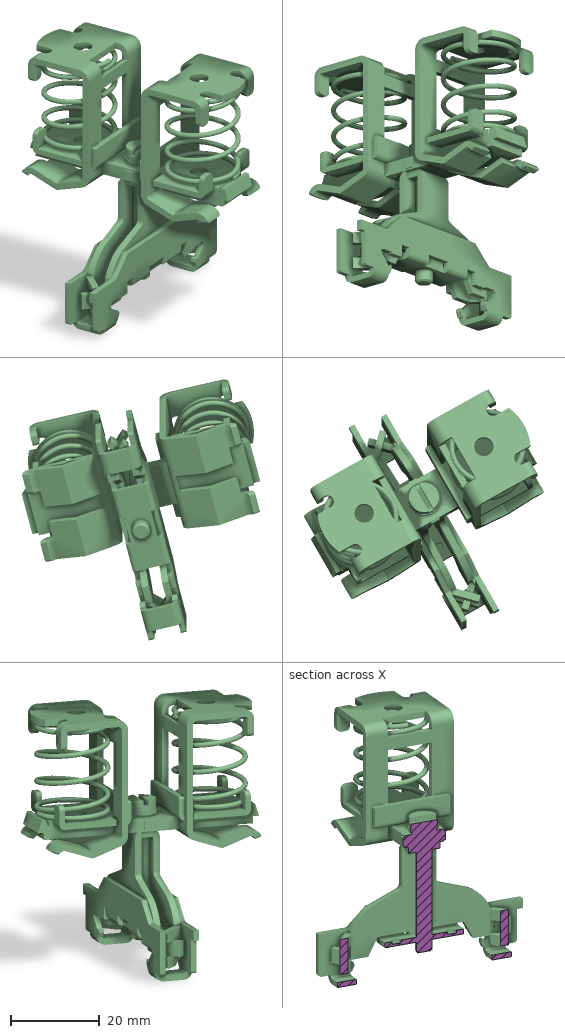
import cadquery as cq
import math

HEIGHT = 58.55
SPAN = 53.0

SHEET = 1.5
BEND = 0.95
BRACKET_HALF_Y = 11.05
WALL_X = 7.0
WALL_OUT_X = WALL_X + SHEET
CEILING_Z = HEIGHT - SHEET
HOOK_X = 23.1
HOOK_BEND = 0.45
HOOK_END_Z = 52.35
HOOK_INNER_Y = 7.85
TONGUE_HALF_Y = 5.0
TONGUE_TIP_X = 25.9
TONGUE_RADIUS = 11.95
RELIEF_R = 1.3
RELIEF_X = 20.0
PLATE_HOLE_X = 15.5
PLATE_HOLE_R = 2.15
WINDOW_HALF_Y = 5.5
WINDOW_TOP_Z = 52.1
BEND_SLOT_BOTTOM_Z = 55.05
BEND_SLOT_END_X = 10.35

APEX_X = 15.5
APEX_Z = 27.05
LEAF_SLOPE = math.radians(19)
LEAF_END_X = 21.45
LEAF_SLOT_HALF_Y = 1.95
CURL_INNER_Y = 5.9
CURL_INSIDE_R = 1.3
CURL_END = math.radians(20)
CURL_CORNER = 0.6

BAR_BOTTOM_Z = 30.8
BAR_TOP_Z = 33.85
BAR_HALF_Y = 5.05
BAR_END_X = 25.0
LIP_BOTTOM_Z = 32.45
LIP_TOP_Z = 35.3
LIP_END_X = SPAN / 2
LIP_TOP_X = 25.5
LIP_WIDTH = 0.95
NIB_HALF_X = 1.05
NIB_HALF_Y = 5.4
NIB_BOTTOM_Z = 31.15
NIB_TOP_Z = 33.4

SEAT_SHEET = 1.3
SEAT_TOP_Z = BAR_TOP_Z + SEAT_SHEET
SEAT_END_X = 22.9
SEAT_HALF_Y = 9.55
SEAT_TAB_INNER_Y = 5.8
SEAT_TAB_TOP_Z = 39.2
SEAT_TIP_X = 24.7
SEAT_START_X = 9.25
SEAT_BEND = 1.25
SEAT_INNER_CORNER = 0.35
TAB_CORNER = 1.05

SPRING_X = 16.45
WIRE = 1.2
COIL_R = 8.0
DEAD_PITCH = 1.25
ACTIVE_PITCH = 6.2
ACTIVE_TURNS = 3
SINK = 0.05

HEAD_R = 3.4
HEAD_TOP_Z = 37.6
HEAD_BOTTOM_Z = 34.95
WASHER_R = 3.6
WASHER_BOTTOM_Z = 34.25
COLLAR_R = 3.1
SLOT_WIDTH = 1.2
SLOT_DEPTH = 1.25
SHANK_R = 2.0
SHANK_END_Z = 4.9
SHANK_CHAMFER = 0.4

SADDLE_HALF_X = 3.1
SADDLE_SHEET = 1.5
SADDLE_BEND = 1.5
PRONG_TOP_Z = 11.6
PRONG_UPPER_Z = 9.0
PRONG_LOWER_Z = 5.5
PRONG_BOTTOM_Z = 3.0
PRONG_START_Y = 17.55
PRONG_BEND = 1.45
PRONG_ROOT = 0.5
ARM_BOTTOM_Z = 5.4
WAIST_FILLET = 1.2
WAIST_SHORT_Y = 4.0
PRONG_REACH = 5.55

CLAMP_SHEET = 1.3
CLAMP_HALF_X = SADDLE_HALF_X + CLAMP_SHEET
CLAMP_END_Y = 25.0
CLAMP_CORNER = 0.7
CLAMP_RIM_Z = 12.3
CLAMP_CREST_Z = 16.8
CLAMP_CREST_HALF_Y = 12.55
CLAMP_SLOPE_END_Y = 17.45
EAR_END_Y = SPAN / 2
EAR_BOTTOM_Z = 9.9
FOOT_START_Y = 17.05
FOOT_END_Y = 22.0
FOOT_BEND = 1.95
FLOOR_BEND = 1.05
FLOOR_Z = 7.55
FLOOR_HALF_Y = 9.95
NOTCH_HALF_Y = 3.35
FLOOR_HOLE_Y = 6.95
FLOOR_HOLE_R = 1.05


def block(x0, x1, y0, y1, z0, z1):
    """Axis-aligned box between two corners."""
    return cq.Workplane("XY").box(x1 - x0, y1 - y0, z1 - z0, centered=False).translate((x0, y0, z0))


def across(points, half_y):
    """XZ outline extruded from -half_y to half_y."""
    return cq.Workplane("XZ").polyline(points).close().extrude(half_y, both=True)


def upright(radius, z0, z1, x=0.0, y=0.0):
    """Vertical cylinder."""
    return cq.Workplane("XY", origin=(x, y, z0)).circle(radius).extrude(z1 - z0)


def both_y(solid):
    """The solid together with its mirror image across the XZ plane."""
    return solid.union(solid.mirror("XZ"))


def fillet_at(solid, x, z, radius):
    """Round the edges whose midpoints lie at (x, z), at any Y."""
    tiny = 0.005
    edge = cq.selectors.BoxSelector(
        (x - tiny, -HEIGHT, z - tiny), (x + tiny, HEIGHT, z + tiny)
    )
    return solid.edges(edge).fillet(radius)


def bracket_sheet():
    """Ceiling, upright wall and V-shaped leaf, bent from one sheet."""
    rise = math.tan(LEAF_SLOPE)
    thick_z = SHEET / math.cos(LEAF_SLOPE)
    foot_z = APEX_Z + (APEX_X - WALL_X) * rise
    inner_foot_z = APEX_Z + thick_z + (APEX_X - WALL_OUT_X) * rise
    end_top_z = APEX_Z + thick_z + (LEAF_END_X - APEX_X) * rise
    end_bottom = (LEAF_END_X + SHEET * math.sin(LEAF_SLOPE), end_top_z - SHEET * math.cos(LEAF_SLOPE))
    hook_in_x = HOOK_X - SHEET
    outline = [
        (HOOK_X, HOOK_END_Z),
        (HOOK_X, HEIGHT),
        (WALL_X, HEIGHT),
        (WALL_X, foot_z),
        (APEX_X, APEX_Z),
        end_bottom,
        (LEAF_END_X, end_top_z),
        (APEX_X, APEX_Z + thick_z),
        (WALL_OUT_X, inner_foot_z),
        (WALL_OUT_X, CEILING_Z),
        (hook_in_x, CEILING_Z),
        (hook_in_x, HOOK_END_Z),
    ]
    sheet = across(outline, BRACKET_HALF_Y)
    for x, z, radius in [
        (HOOK_X, HEIGHT, HOOK_BEND + SHEET),
        (hook_in_x, CEILING_Z, HOOK_BEND),
        (WALL_X, HEIGHT, BEND + SHEET),
        (WALL_OUT_X, CEILING_Z, BEND),
        (WALL_X, foot_z, BEND + SHEET),
        (WALL_OUT_X, inner_foot_z, BEND),
    ]:
        sheet = fillet_at(sheet, x, z, radius)
    return both_y(sheet.union(leaf_curl(end_top_z)))


def leaf_curl(end_top_z):
    """Downward curl that continues the leaf beyond its end, on the +Y side."""
    outer = CURL_INSIDE_R + SHEET
    start = math.pi / 2 + LEAF_SLOPE
    middle = (start + CURL_END) / 2
    centre_x = LEAF_END_X - outer * math.cos(start)
    centre_z = end_top_z - outer * math.sin(start)

    def on_arc(radius, angle):
        return (centre_x + radius * math.cos(angle), centre_z + radius * math.sin(angle))

    curl = (
        cq.Workplane("XZ", origin=(0, BRACKET_HALF_Y, 0))
        .moveTo(*on_arc(outer, start))
        .threePointArc(on_arc(outer, middle), on_arc(outer, CURL_END))
        .lineTo(*on_arc(CURL_INSIDE_R, CURL_END))
        .threePointArc(on_arc(CURL_INSIDE_R, middle), on_arc(CURL_INSIDE_R, start))
        .close()
        .extrude(BRACKET_HALF_Y - CURL_INNER_Y)
    )
    tip = on_arc(CURL_INSIDE_R + SHEET / 2, CURL_END)
    return fillet_at(curl, *tip, CURL_CORNER)


def tongue(tip_x, bottom_z, thickness):
    """Plate end with an arched tip."""
    arch_drop = TONGUE_RADIUS - math.sqrt(TONGUE_RADIUS**2 - TONGUE_HALF_Y**2)
    return (
        cq.Workplane("XY", origin=(0, 0, bottom_z))
        .moveTo(RELIEF_X, -TONGUE_HALF_Y)
        .lineTo(tip_x - arch_drop, -TONGUE_HALF_Y)
        .threePointArc((tip_x, 0), (tip_x - arch_drop, TONGUE_HALF_Y))
        .lineTo(RELIEF_X, TONGUE_HALF_Y)
        .close()
        .extrude(thickness)
    )


def bracket():
    """One spring holder on the +X side."""
    relief = block(RELIEF_X, HOOK_X, TONGUE_HALF_Y, HOOK_INNER_Y, HOOK_END_Z, HEIGHT)
    relief = relief.edges("|Z and <X").fillet(RELIEF_R)
    body = bracket_sheet()
    body = body.cut(block(RELIEF_X, HOOK_X, -TONGUE_HALF_Y, TONGUE_HALF_Y, HOOK_END_Z, HEIGHT))
    body = body.cut(both_y(relief))
    hook_tips = cq.selectors.BoxSelector(
        (RELIEF_X, -HEIGHT, HOOK_END_Z - 0.6), (HOOK_X + 0.6, HEIGHT, HOOK_END_Z + 0.6)
    )
    body = body.edges(hook_tips).edges("|X").fillet(TAB_CORNER)
    body = body.union(tongue(TONGUE_TIP_X, CEILING_Z, SHEET))
    window = block(WALL_X, WALL_OUT_X, -WINDOW_HALF_Y, WINDOW_HALF_Y, BAR_BOTTOM_Z, WINDOW_TOP_Z)
    bend_slot = block(
        WALL_X, BEND_SLOT_END_X, -WINDOW_HALF_Y, WINDOW_HALF_Y, BEND_SLOT_BOTTOM_Z, HEIGHT
    )
    leaf_slot = block(
        WALL_OUT_X, HOOK_X, -LEAF_SLOT_HALF_Y, LEAF_SLOT_HALF_Y, 0, BAR_BOTTOM_Z
    )
    hole = upright(PLATE_HOLE_R, CEILING_Z, HEIGHT, x=PLATE_HOLE_X)
    return body.cut(window).cut(bend_slot).cut(leaf_slot).cut(hole)


def seat():
    """Spring seat on the +X side: a plate with two outer tabs and one wide inner tab."""
    inner_x = WALL_X - SEAT_SHEET
    tab_x = SEAT_END_X - SEAT_SHEET
    outline = [
        (inner_x, SEAT_TAB_TOP_Z),
        (inner_x, BAR_TOP_Z),
        (SEAT_END_X, BAR_TOP_Z),
        (SEAT_END_X, SEAT_TAB_TOP_Z),
        (tab_x, SEAT_TAB_TOP_Z),
        (tab_x, SEAT_TOP_Z),
        (WALL_X, SEAT_TOP_Z),
        (WALL_X, SEAT_TAB_TOP_Z),
    ]
    body = across(outline, SEAT_HALF_Y)
    for x in (inner_x, SEAT_END_X):
        body = fillet_at(body, x, BAR_TOP_Z, SEAT_BEND)
    gap = block(
        tab_x, SEAT_END_X, -SEAT_TAB_INNER_Y, SEAT_TAB_INNER_Y, BAR_TOP_Z, SEAT_TAB_TOP_Z
    )
    beside_neck = block(WALL_X, SEAT_START_X, BAR_HALF_Y, SEAT_HALF_Y, BAR_TOP_Z, SEAT_TAB_TOP_Z)
    body = body.cut(gap).cut(both_y(beside_neck))
    tab_tips = cq.selectors.BoxSelector(
        (tab_x - 0.6, -HEIGHT, SEAT_TAB_TOP_Z - 0.6), (SEAT_END_X + 0.6, HEIGHT, SEAT_TAB_TOP_Z + 0.6)
    )
    body = body.edges(tab_tips).edges("|X").fillet(TAB_CORNER)
    inner_tip = cq.selectors.BoxSelector(
        (inner_x - 0.6, -HEIGHT, SEAT_TAB_TOP_Z - 0.6), (WALL_X + 0.6, HEIGHT, SEAT_TAB_TOP_Z + 0.6)
    )
    body = body.edges(inner_tip).edges("|X").fillet(SEAT_INNER_CORNER)
    body = body.union(tongue(SEAT_TIP_X, BAR_TOP_Z, SEAT_SHEET))
    return body.cut(upright(PLATE_HOLE_R, BAR_TOP_Z, SEAT_TOP_Z, x=PLATE_HOLE_X))


def spring():
    """Right-handed coil spring about the Z axis with one closed turn at each end."""
    bottom = SEAT_TOP_Z + WIRE / 2 - SINK
    steps_per_turn = 16
    last_turn = ACTIVE_TURNS + 2

    def height(turn):
        dead = min(turn, 1) + max(turn - 1 - ACTIVE_TURNS, 0)
        active = min(max(turn - 1, 0), ACTIVE_TURNS)
        return bottom + DEAD_PITCH * dead + ACTIVE_PITCH * active

    path = []
    for step in range(last_turn * steps_per_turn + 1):
        turn = step / steps_per_turn
        angle = 2 * math.pi * turn
        path.append(cq.Vector(COIL_R * math.cos(angle), COIL_R * math.sin(angle), height(turn)))
    wire = cq.Workplane(cq.Plane(origin=path[0].toTuple(), normal=(0, 1, 0))).circle(WIRE / 2)
    return wire.sweep(cq.Workplane("XY").spline(path), isFrenet=True)


def bar():
    """Cross bar with a raised lip at each end and a small nib on each side."""
    half = block(0, BAR_END_X, -BAR_HALF_Y, BAR_HALF_Y, BAR_BOTTOM_Z, BAR_TOP_Z)
    lip = across([
        (BAR_END_X - LIP_WIDTH, LIP_BOTTOM_Z),
        (LIP_END_X, LIP_BOTTOM_Z),
        (LIP_TOP_X, LIP_TOP_Z),
        (LIP_TOP_X - LIP_WIDTH, LIP_TOP_Z),
        (BAR_END_X - LIP_WIDTH, BAR_TOP_Z),
    ], BAR_HALF_Y)
    half = half.union(lip)
    nib = block(-NIB_HALF_X, NIB_HALF_X, -NIB_HALF_Y, NIB_HALF_Y, NIB_BOTTOM_Z, NIB_TOP_Z)
    return half.union(half.mirror("YZ")).union(nib)


def screw():
    """Slotted screw with washer, running down through the whole clamp."""
    head = upright(HEAD_R, HEAD_BOTTOM_Z, HEAD_TOP_Z)
    half_slot = SLOT_WIDTH / 2
    head = head.cut(
        block(-half_slot, half_slot, -HEAD_R, HEAD_R, HEAD_TOP_Z - SLOT_DEPTH, HEAD_TOP_Z)
    )
    washer = upright(WASHER_R, WASHER_BOTTOM_Z, HEAD_BOTTOM_Z)
    collar = upright(COLLAR_R, BAR_TOP_Z, WASHER_BOTTOM_Z)
    shank = upright(SHANK_R, SHANK_END_Z, BAR_TOP_Z).faces("<Z").chamfer(SHANK_CHAMFER)
    return head.union(washer).union(collar).union(shank)


def saddle_arm():
    """The -X arm of the saddle: a narrow waist that flares to long haunches along Y."""
    shoulder_y = 12.75
    shoulder_z = 17.35
    waist_z = 20.4
    waist_long_y = 4.8
    haunch_z = 12.0
    haunch_mid_y = 15.75
    haunch_mid_z = 14.95
    belly_z = 9.8
    belly_half_y = 10.85
    toe_y = 13.3
    rest_half_y = 2.9
    lower = [
        (-PRONG_START_Y, ARM_BOTTOM_Z),
        (-toe_y, ARM_BOTTOM_Z),
        (-belly_half_y, belly_z),
        (-rest_half_y, belly_z),
        (-rest_half_y, FLOOR_Z + CLAMP_SHEET),
        (rest_half_y, FLOOR_Z + CLAMP_SHEET),
        (rest_half_y, belly_z),
        (belly_half_y, belly_z),
        (toe_y, ARM_BOTTOM_Z),
        (PRONG_START_Y, ARM_BOTTOM_Z),
    ]
    arm = (
        cq.Workplane("YZ", origin=(-SADDLE_HALF_X, 0, 0))
        .polyline(lower)
        .lineTo(PRONG_START_Y, haunch_z)
        .threePointArc((haunch_mid_y, haunch_mid_z), (shoulder_y, shoulder_z))
        .lineTo(WAIST_SHORT_Y, waist_z)
        .lineTo(WAIST_SHORT_Y, BAR_BOTTOM_Z)
        .lineTo(-waist_long_y, BAR_BOTTOM_Z)
        .lineTo(-waist_long_y, waist_z)
        .lineTo(-shoulder_y, shoulder_z)
        .threePointArc((-haunch_mid_y, haunch_mid_z), (-PRONG_START_Y, haunch_z))
        .close()
        .extrude(SADDLE_SHEET)
    )
    waist_corners = cq.selectors.BoxSelector(
        (-HEIGHT, -waist_long_y - 0.6, waist_z - 0.6), (HEIGHT, waist_long_y + 0.6, waist_z + 0.6)
    )
    return arm.edges(waist_corners).edges("|X").fillet(WAIST_FILLET)


def prong_band():
    """Full-height 45 degree band that bends inward from the +Y end of the -X arm."""
    side = SADDLE_SHEET * math.sqrt(0.5)
    outer_x = -SADDLE_HALF_X
    inner_x = outer_x + SADDLE_SHEET
    bend_y = PRONG_START_Y + SADDLE_SHEET * math.tan(math.pi / 8)
    far_x = outer_x + PRONG_REACH
    far_y = PRONG_START_Y + far_x - inner_x
    band = (
        cq.Workplane("XY")
        .polyline([
            (outer_x, PRONG_START_Y),
            (outer_x, bend_y),
            (far_x - side, far_y + side),
            (far_x, far_y),
            (inner_x, PRONG_START_Y),
        ])
        .close()
        .extrude(HEIGHT)
    )
    return band.edges("|Z").edges("<X").edges(">Y").fillet(PRONG_BEND)


def prongs():
    """Interlocking prongs at the +Y end: two on the -X arm and one between them on the +X arm."""
    band = prong_band()
    wide = 2 * SADDLE_HALF_X
    far_y = CLAMP_END_Y
    upper = band.intersect(block(-wide, wide, 0, far_y, PRONG_UPPER_Z, PRONG_TOP_Z))
    toe_rise_z = 5.05
    toe_start_x = -1.2
    toe = across([
        (-SADDLE_HALF_X, PRONG_LOWER_Z),
        (-SADDLE_HALF_X, toe_rise_z),
        (toe_start_x, PRONG_BOTTOM_Z),
        (SADDLE_HALF_X, PRONG_BOTTOM_Z),
        (SADDLE_HALF_X, PRONG_LOWER_Z),
    ], far_y)
    lower = band.intersect(toe)
    middle = band.mirror("YZ").intersect(
        block(-wide, wide, 0, far_y, PRONG_LOWER_Z, PRONG_UPPER_Z)
    )
    root = band.intersect(
        block(-SADDLE_HALF_X, PRONG_ROOT - SADDLE_HALF_X, 0, far_y, ARM_BOTTOM_Z, PRONG_TOP_Z)
    )
    return upper.union(middle).union(lower).union(root).union(root.mirror("YZ"))


def saddle():
    """Two arms turned half a turn from each other, joined under the bar."""
    arm = saddle_arm()
    bridge = block(
        -SADDLE_HALF_X, SADDLE_HALF_X, -WAIST_SHORT_Y, WAIST_SHORT_Y,
        BAR_BOTTOM_Z - SADDLE_SHEET, BAR_BOTTOM_Z,
    )
    body = arm.union(arm.rotate((0, 0, 0), (0, 0, 1), 180)).union(bridge)
    rounding = across([
        (-SADDLE_HALF_X, 0),
        (SADDLE_HALF_X, 0),
        (SADDLE_HALF_X, BAR_BOTTOM_Z),
        (-SADDLE_HALF_X, BAR_BOTTOM_Z),
    ], CLAMP_END_Y).edges("|Y and >Z").fillet(SADDLE_BEND)
    return body.intersect(rounding).union(both_y(prongs()))


def clamp_plate():
    """Outline of the -X plate of the clamp, extruded through the sheet."""
    def jaw(side):
        """Lower edge from the floor out to the bottom corner, for side +1 or -1."""
        return [
            (side * y, z) for y, z in [
                (FLOOR_HALF_Y, FLOOR_Z + FLOOR_BEND),
                (FLOOR_HALF_Y, EAR_BOTTOM_Z),
                (12.6, EAR_BOTTOM_Z),
                (12.6, 6.9),
                (15.8, 6.9),
                (16.05, 7.25),
                (18.9, 7.25),
                (19.55, 6.75),
                (19.55, 6.2),
                (17.75, 4.45),
                (17.2, 3.65),
                (16.85, 3.65),
                (16.5, 4.1),
                (16.1, 4.0),
                (16.0, 3.15),
                (16.6, FOOT_BEND),
                (CLAMP_END_Y, FOOT_BEND),
            ]
        ]

    ear = [
        (CLAMP_END_Y, EAR_BOTTOM_Z),
        (EAR_END_Y, EAR_BOTTOM_Z),
        (EAR_END_Y, CLAMP_RIM_Z),
    ]
    top = [
        (CLAMP_SLOPE_END_Y, CLAMP_RIM_Z),
        (CLAMP_CREST_HALF_Y, CLAMP_CREST_Z),
        (-CLAMP_CREST_HALF_Y, CLAMP_CREST_Z),
        (-CLAMP_SLOPE_END_Y, CLAMP_RIM_Z),
        (-CLAMP_END_Y, CLAMP_RIM_Z),
    ]
    outline = jaw(1) + ear + top + jaw(-1)[::-1]
    plate = (
        cq.Workplane("YZ", origin=(-CLAMP_HALF_X, 0, 0))
        .polyline(outline)
        .close()
        .extrude(CLAMP_SHEET)
    )
    near_foot = cq.selectors.BoxSelector((-HEIGHT, -HEIGHT, FOOT_BEND - 0.6), (0, HEIGHT, FOOT_BEND + 0.6))
    return plate.edges("|X").edges(near_foot).edges("<Y or >Y").fillet(CLAMP_CORNER)


def trough(z0, z1, y0, y1, outer_bend):
    """Channel bottom along Y that joins the two clamp plates."""
    outside = block(-CLAMP_HALF_X, CLAMP_HALF_X, y0, y1, z0, z1)
    outside = outside.edges("|Y and <Z").fillet(outer_bend)
    inside = block(-SADDLE_HALF_X, SADDLE_HALF_X, y0, y1, z0 + CLAMP_SHEET, z1)
    inner_bend = outer_bend - CLAMP_SHEET
    if inner_bend > 0:
        inside = inside.edges("|Y and <Z").fillet(inner_bend)
    return outside.cut(inside)


def clamp():
    """Two plates turned half a turn from each other, a floor and two feet."""
    plate = clamp_plate()
    feet = both_y(trough(0, FOOT_BEND + CLAMP_SHEET, FOOT_START_Y, FOOT_END_Y, FOOT_BEND))
    floor = trough(FLOOR_Z, EAR_BOTTOM_Z, -FLOOR_HALF_Y, FLOOR_HALF_Y, FLOOR_BEND)
    for y in (-FLOOR_HOLE_Y, FLOOR_HOLE_Y):
        floor = floor.cut(upright(FLOOR_HOLE_R, FLOOR_Z + CLAMP_SHEET / 2, EAR_BOTTOM_Z, y=y))
    body = plate.union(plate.rotate((0, 0, 0), (0, 0, 1), 180)).union(feet).union(floor)
    notch = block(
        SADDLE_HALF_X, CLAMP_HALF_X, -NOTCH_HALF_Y, NOTCH_HALF_Y, FLOOR_Z, EAR_BOTTOM_Z
    )
    return body.cut(notch).cut(notch.mirror("YZ"))


result = clamp().union(saddle()).union(bar()).union(screw())
holder = bracket().union(seat())
result = result.union(holder).union(holder.mirror("YZ"))
coil = spring()
for spring_axis_x in (-SPRING_X, SPRING_X):
    result = result.union(coil.translate((spring_axis_x, 0, 0)))